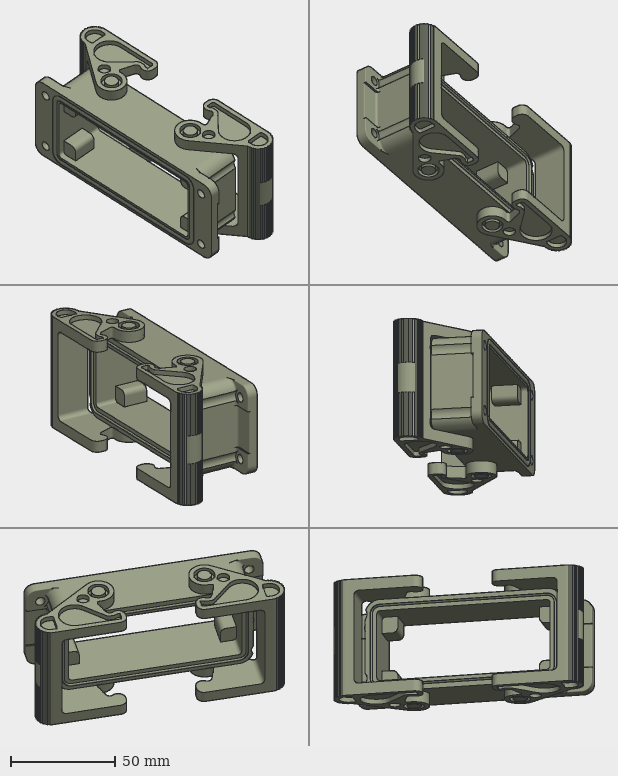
import cadquery as cq
import math


OVERALL_LENGTH = 122.6
LEVER_HEIGHT = 58.0
BACK_Y = 44.1
FLANGE_LENGTH = 116.7
HOUSING_HEIGHT = 46.2

FLANGE_THICKNESS = 5.4
FLANGE_CORNER = 5.1
SCREW_X = 51.5
SCREW_Z = 16.0
SCREW_RADIUS = 2.3
SCREW_HEAD_RADIUS = 4.0
RIM_FILLET = 0.4
NOTCH_WIDTH = 21.8
NOTCH_FLOOR_Y = 4.5

HOUSING_LENGTH = 96.9
HOUSING_BACK_Y = 27.2
HOUSING_CORNER = HOUSING_HEIGHT / 2 - SCREW_Z
FOOT_FILLET = 1.1
OPENING_LENGTH = 85.3
OPENING_HEIGHT = 35.1
OPENING_CORNER = 1.8

BEAD_WIDTH = 2.8
BEAD_PROUD = 0.7
BEAD_SIDE = 0.2

RIB_WIDTH = 1.0
RIB_PROUD = 1.0
RIB_SIDE = 0.4

STRIP_LENGTH = 90.6
STRIP_HEIGHT = 40.2
STRIP_CORNER = 4.2
STRIP_ROOT = 1.2

POST_INNER_X = 34.8
POST_INNER_Z = 9.5
POST_FRONT_Y = 3.3
POST_BACK_Y = 16.0
POST_CORNER = 2.7
POST_OVERLAP = 1.2

PIVOT = (26.1, 19.1)
PIVOT_BOSS_RADIUS = 7.5
PIVOT_RING_RADIUS = 5.0
PIN_RADIUS = 3.4
PIN_ROOT = 2.5

GRIP_RADIUS = 7.1
GRIP = (OVERALL_LENGTH / 2 - GRIP_RADIUS, BACK_Y - GRIP_RADIUS)
GROOVE_WIDTH = 1.0
GROOVE_DEPTH = 0.2
GROOVE_PITCH = 15.0
GROOVE_SHIFT = 3.0
GROOVES_EACH_SIDE = 5
SHORT_GROOVES_EACH_SIDE = 2
SMOOTH_PATCH_HEIGHT = 14.7

ARM_SLOPE = 35.8
ARM_END_X = 54.0
HOOK_TIP_X = 17.3
HOOK_TIP_RADIUS = 3.7
HOOK_TIP_CORNER_Y = 32.2
HOOK_THROAT = (25.1, 37.3)
HOOK_THROAT_RADIUS = 2.1
HOOK_ROOT_X = 29.2
HOOK_ROOT_RADIUS = 1.2
WINDOW_END_X = 50.0
WINDOW_HEIGHT = 46.5
WINDOW_CORNER = 2.5

POCKET_DEPTH = 2.5
POCKET_MARGIN = 2.5
ARM_POCKET_RADIUS = 7.7
ARM_POCKET_X = 41.3
ARM_POCKET_TIP_Y = 37.6
ARM_POCKET_STEP_X = 21.2
ARM_POCKET_THROAT_Y = 38.4
ARM_POCKET_THROAT_RADIUS = 2.5
POCKET_STEP_RUN = 1.3
GRIP_POCKET_FLAT_X = 51.5
POCKET_CORNER = 1.0
DIMPLE = (34.6, 23.0)
DIMPLE_RADIUS = 3.0

LEVER_SPAN = (-LEVER_HEIGHT / 2, LEVER_HEIGHT / 2)
POCKET_SPAN = (LEVER_HEIGHT / 2 - POCKET_DEPTH, LEVER_HEIGHT / 2)


def block(x_range, y_range, z_range):
    """A box given by its limits along each axis."""
    sizes = [high - low for low, high in (x_range, y_range, z_range)]
    corner = (x_range[0], y_range[0], z_range[0])
    return cq.Workplane("XY").box(*sizes, centered=False).translate(corner)


def rounded_bar(length, height, corner, y_range):
    """A bar along Y with a rounded rectangle as its section, centred on X = Z = 0."""
    bar = cq.Workplane("XY").box(length, y_range[1] - y_range[0], height)
    return bar.edges("|Y").fillet(corner).translate((0, sum(y_range) / 2, 0))


def rod_along_y(x, z, radius, y_range):
    """A round rod along Y."""
    start = cq.Vector(x, y_range[0], z)
    return cq.Workplane(cq.Solid.makeCylinder(radius, y_range[1] - y_range[0], start, cq.Vector(0, 1, 0)))


def disc(center, radius, z_range):
    """A round rod along Z."""
    return cq.Workplane("XY", origin=(0, 0, z_range[0])).center(*center).circle(radius).extrude(
        z_range[1] - z_range[0]
    )


def rounded_plate(corners, z_range):
    """A plate outlined by (x, y, radius) corners; a radius of 0 leaves the corner sharp."""
    points = [cq.Vector(x, y, 0) for x, y, _ in corners]
    stops = []
    for index, (_, _, radius) in enumerate(corners):
        corner = points[index]
        if radius == 0:
            stops.append((corner, corner, corner))
            continue
        back = (points[index - 1] - corner).normalized()
        ahead = (points[(index + 1) % len(points)] - corner).normalized()
        half_angle = back.getAngle(ahead) / 2
        setback = radius / math.tan(half_angle)
        middle_distance = radius / math.sin(half_angle) - radius
        middle = corner + (back + ahead).normalized() * middle_distance
        stops.append((corner + back * setback, middle, corner + ahead * setback))

    outline = cq.Workplane("XY", origin=(0, 0, z_range[0])).moveTo(*stops[0][2].toTuple()[:2])
    for start, middle, end in stops[1:] + stops[:1]:
        outline = outline.lineTo(start.x, start.y)
        if start is not end:
            outline = outline.threePointArc((middle.x, middle.y), (end.x, end.y))
    return outline.close().extrude(z_range[1] - z_range[0])


def in_both_ends(shape):
    """The shape and its mirror image across X = 0."""
    return shape.union(shape.mirror("YZ"))


def in_both_faces(shape):
    """The shape and its mirror image across Z = 0."""
    return shape.union(shape.mirror("XY"))


def make_trim():
    """The flange outline, with its back rim rounded as far as the toe of the foot fillet."""
    flange = rounded_bar(FLANGE_LENGTH, HOUSING_HEIGHT, FLANGE_CORNER, (0, FLANGE_THICKNESS))
    flange = flange.faces(">Y").edges().fillet(RIM_FILLET)
    above = rounded_bar(FLANGE_LENGTH, HOUSING_HEIGHT, FLANGE_CORNER, (FLANGE_THICKNESS, HOUSING_BACK_Y))
    toe_radius = HOUSING_CORNER + FOOT_FILLET
    toe_x = HOUSING_LENGTH / 2 - HOUSING_CORNER + math.sqrt(toe_radius**2 - HOUSING_CORNER**2)
    half_height = HOUSING_HEIGHT / 2
    flush_sides = block((-toe_x, toe_x), (0, HOUSING_BACK_Y), (-half_height, half_height))
    return flange.union(above).union(flush_sides)


def make_shell():
    """The solid housing block joined to its flange by a foot fillet."""
    plate_half = HOUSING_HEIGHT / 2 + 2 * FOOT_FILLET
    flange_half = FLANGE_LENGTH / 2
    plate = block((-flange_half, flange_half), (0, FLANGE_THICKNESS), (-plate_half, plate_half))
    walls = rounded_bar(HOUSING_LENGTH, HOUSING_HEIGHT, HOUSING_CORNER, (0, HOUSING_BACK_Y))
    foot = cq.selectors.BoxSelector(
        (-HOUSING_LENGTH / 2 - FOOT_FILLET, FLANGE_THICKNESS - FOOT_FILLET, -plate_half + FOOT_FILLET),
        (HOUSING_LENGTH / 2 + FOOT_FILLET, FLANGE_THICKNESS + FOOT_FILLET, plate_half - FOOT_FILLET),
    )
    shell = plate.union(walls).edges(foot).fillet(FOOT_FILLET)
    return shell.intersect(make_trim())


def make_flange_cuts():
    """Screw holes with room for the screw heads, and the notch in each end of the flange."""
    hole = rod_along_y(SCREW_X, SCREW_Z, SCREW_RADIUS, (0, FLANGE_THICKNESS))
    head_room = rod_along_y(SCREW_X, SCREW_Z, SCREW_HEAD_RADIUS, (FLANGE_THICKNESS, HOUSING_BACK_Y))
    notch = block(
        (HOUSING_LENGTH / 2, FLANGE_LENGTH / 2),
        (NOTCH_FLOOR_Y, FLANGE_THICKNESS + FOOT_FILLET),
        (-NOTCH_WIDTH / 2, NOTCH_WIDTH / 2),
    )
    notch = notch.edges("|Z and <X and <Y").fillet(FOOT_FILLET)
    return in_both_ends(in_both_faces(hole.union(head_room)).union(notch))


def make_strip(width, proud, side, face_y, outward):
    """A crowned strip around the opening, standing from a face in the Y direction `outward`."""
    half_width = width / 2
    root_y = face_y - outward * STRIP_ROOT
    side_y = face_y + outward * side
    crown_y = face_y + outward * proud
    ring = cq.Workplane("XZ", origin=(0, face_y, 0)).rect(STRIP_LENGTH, STRIP_HEIGHT).extrude(1.2)
    path = ring.edges("|Y").fillet(STRIP_CORNER).faces(">Y").wires()
    section = (
        cq.Workplane("XY", origin=(STRIP_LENGTH / 2, 0, 0))
        .moveTo(half_width, root_y)
        .lineTo(half_width, side_y)
        .threePointArc((0, crown_y), (-half_width, side_y))
        .lineTo(-half_width, root_y)
        .close()
    )
    return section.sweep(path)


def make_post():
    """The post in the +X +Z corner of the housing."""
    post = block(
        (POST_INNER_X, OPENING_LENGTH / 2 + POST_OVERLAP),
        (POST_FRONT_Y, POST_BACK_Y),
        (POST_INNER_Z, OPENING_HEIGHT / 2 + POST_OVERLAP),
    )
    return post.edges("|Y and <X and <Z").fillet(POST_CORNER)


def make_housing():
    """The housing with its opening, flange cuts, corner posts and sealing strips."""
    opening = rounded_bar(OPENING_LENGTH, OPENING_HEIGHT, OPENING_CORNER, (0, HOUSING_BACK_Y))
    housing = make_shell().cut(opening).cut(make_flange_cuts())
    notch_rim = cq.selectors.BoxSelector(
        (-FLANGE_LENGTH, NOTCH_FLOOR_Y - RIM_FILLET, -RIM_FILLET),
        (FLANGE_LENGTH, NOTCH_FLOOR_Y + RIM_FILLET, RIM_FILLET),
    )
    housing = housing.edges("|Z").edges(notch_rim).edges("<X or >X").fillet(RIM_FILLET)
    posts = in_both_ends(in_both_faces(make_post()))
    bead = make_strip(BEAD_WIDTH, BEAD_PROUD, BEAD_SIDE, 0, -1)
    rib = make_strip(RIB_WIDTH, RIB_PROUD, RIB_SIDE, HOUSING_BACK_Y, 1)
    return housing.union(posts).union(bead).union(rib)


def make_lever_blank():
    """The full-height +X lever: arm with hook, pivot boss and grip."""
    slope = math.radians(ARM_SLOPE)
    tangent_x = PIVOT[0] + PIVOT_BOSS_RADIUS * math.sin(slope)
    tangent_y = PIVOT[1] - PIVOT_BOSS_RADIUS * math.cos(slope)
    arm_end_y = tangent_y + (ARM_END_X - tangent_x) * math.tan(slope)
    boss_top = PIVOT[1] + PIVOT_BOSS_RADIUS
    arm = rounded_plate(
        [
            (GRIP[0], BACK_Y, 0),
            (HOOK_TIP_X, BACK_Y, HOOK_TIP_RADIUS),
            (HOOK_TIP_X, HOOK_TIP_CORNER_Y, HOOK_TIP_RADIUS),
            (*HOOK_THROAT, HOOK_THROAT_RADIUS),
            (HOOK_ROOT_X, boss_top, HOOK_ROOT_RADIUS),
            (PIVOT[0], boss_top, 0),
            (*PIVOT, 0),
            (tangent_x, tangent_y, 0),
            (ARM_END_X, arm_end_y, 0),
            (*GRIP, 0),
        ],
        LEVER_SPAN,
    )
    boss = disc(PIVOT, PIVOT_BOSS_RADIUS, LEVER_SPAN)
    grip = disc(GRIP, GRIP_RADIUS, LEVER_SPAN)
    return arm.union(boss).union(grip)


def make_window():
    """The space between the two arms of the +X lever, closed at the grip."""
    window = block((0, WINDOW_END_X), (0, BACK_Y), (-WINDOW_HEIGHT / 2, WINDOW_HEIGHT / 2))
    return window.edges("|Y and >X").fillet(WINDOW_CORNER)


def make_grip_grooves():
    """Finger grooves around the grip; the middle ones stop at a smooth patch."""
    groove = block(
        (GRIP_RADIUS - GROOVE_DEPTH, GRIP_RADIUS + GROOVE_DEPTH),
        (-GROOVE_WIDTH / 2, GROOVE_WIDTH / 2),
        LEVER_SPAN,
    )
    patch_half = SMOOTH_PATCH_HEIGHT / 2
    patch = block((0, 2 * GRIP_RADIUS), (-GROOVE_WIDTH, GROOVE_WIDTH), (-patch_half, patch_half))
    short_groove = groove.cut(patch)

    grooves = cq.Workplane("XY")
    for step in range(-GROOVES_EACH_SIDE, GROOVES_EACH_SIDE + 1):
        kind = short_groove if abs(step) <= SHORT_GROOVES_EACH_SIDE else groove
        angle = -(GROOVE_SHIFT + GROOVE_PITCH * step)
        turned = kind.rotate((0, 0, 0), (0, 0, 1), angle)
        grooves = grooves.add(turned.translate((*GRIP, 0)))
    return grooves.combine()


def make_arm_pocket():
    """The large pocket that follows the outline of the hook."""
    top = BACK_Y - POCKET_MARGIN
    center = (ARM_POCKET_X, top - ARM_POCKET_RADIUS)
    tangent = ARM_POCKET_RADIUS * math.sqrt(0.5)
    tangent_point = (center[0] - tangent, center[1] - tangent)
    throat_x = sum(tangent_point) - ARM_POCKET_THROAT_Y
    outline = rounded_plate(
        [
            (center[0], top, 0),
            (HOOK_TIP_X + POCKET_MARGIN, top, POCKET_CORNER),
            (HOOK_TIP_X + POCKET_MARGIN, ARM_POCKET_TIP_Y, 0),
            (ARM_POCKET_STEP_X, ARM_POCKET_TIP_Y, POCKET_CORNER),
            (ARM_POCKET_STEP_X + POCKET_STEP_RUN, ARM_POCKET_THROAT_Y, POCKET_CORNER),
            (throat_x, ARM_POCKET_THROAT_Y, ARM_POCKET_THROAT_RADIUS),
            (*tangent_point, 0),
            (*center, 0),
        ],
        POCKET_SPAN,
    )
    return outline.union(disc(center, ARM_POCKET_RADIUS, POCKET_SPAN))


def make_grip_pocket():
    """The D-shaped pocket, concentric with the grip."""
    radius = GRIP_RADIUS - POCKET_MARGIN
    flat_end = rounded_plate(
        [
            (GRIP[0], GRIP[1] - radius, 0),
            (GRIP_POCKET_FLAT_X, GRIP[1] - radius, POCKET_CORNER),
            (GRIP_POCKET_FLAT_X, GRIP[1] + radius, POCKET_CORNER),
            (GRIP[0], GRIP[1] + radius, 0),
        ],
        POCKET_SPAN,
    )
    outer_half = block((GRIP[0], GRIP[0] + radius), (GRIP[1] - radius, GRIP[1] + radius), POCKET_SPAN)
    return flat_end.union(disc(GRIP, radius, POCKET_SPAN).intersect(outer_half))


def make_lever():
    """The +X lever with its window, grooves and pockets, and the pins that carry it."""
    pockets = make_arm_pocket().union(make_grip_pocket())
    pockets = pockets.union(disc(DIMPLE, DIMPLE_RADIUS, POCKET_SPAN))
    pockets = pockets.union(disc(PIVOT, PIVOT_RING_RADIUS, POCKET_SPAN))
    pin = disc(PIVOT, PIN_RADIUS, (HOUSING_HEIGHT / 2 - PIN_ROOT, LEVER_HEIGHT / 2))
    lever = make_lever_blank().cut(make_window()).cut(make_grip_grooves())
    return lever.cut(in_both_faces(pockets)).union(in_both_faces(pin))


result = make_housing().union(in_both_ends(make_lever()))